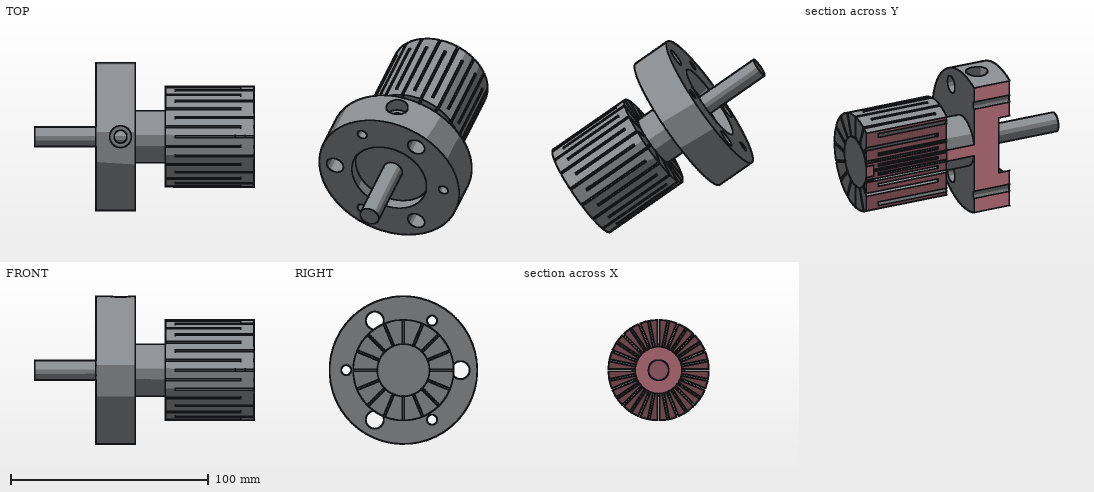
import cadquery as cq


rod_projection = 31.0
rod_diameter = 10.0
plug_diameter = 26.5
plug_length = 4.5
plug_overhang = 0.1

flange_diameter = 75.0
flange_thickness = 20.0
recess_diameter = 40.0
recess_depth = 6.0

bolt_circle_radius = 29.0
large_hole_diameter = 9.0
small_hole_diameter = 5.0
holes_per_size = 3
hole_spacing = 360 / holes_per_size

port_setback = 12.5
port_diameter = 6.5
counterbore_diameter = 11.0
counterbore_depth = 7.0

neck_diameter = plug_diameter
neck_length = 15.2
core_diameter = 24.0
nose_length = 5.0
nose_tip_diameter = 21.0
plug_gap = 5.2

sleeve_diameter = 51.0
sleeve_length = 45.0
slot_width = 1.0
slots_per_end = 16
slot_pitch = 360 / slots_per_end
front_slot_length = 38.25
rear_slot_length = 40.0

sleeve_front = flange_thickness + neck_length
sleeve_rear = sleeve_front + sleeve_length
rod_rear = sleeve_rear + plug_overhang
plug_front = rod_rear - plug_length
nose_tip = plug_front - plug_gap
nose_base = nose_tip - nose_length


def cylinder(diameter, start, end):
    """Solid cylinder about the X axis between two X stations."""
    return cq.Workplane("YZ", origin=(start, 0, 0)).circle(diameter / 2).extrude(end - start)


def flange_holes(diameter, first_angle):
    """Evenly spaced cutters through the flange; angles run from +Y toward +Z."""
    return (
        cq.Workplane("YZ")
        .polarArray(bolt_circle_radius, first_angle, 360, holes_per_size)
        .circle(diameter / 2)
        .extrude(flange_thickness)
    )


def radial_port():
    """Counterbored cutter from the top of the flange down to the rod bore."""
    rim_height = flange_diameter / 2
    hole = cq.Workplane("XY", origin=(port_setback, 0, 0)).circle(port_diameter / 2).extrude(rim_height)
    counterbore = (
        cq.Workplane("XY", origin=(port_setback, 0, rim_height - counterbore_depth))
        .circle(counterbore_diameter / 2)
        .extrude(counterbore_depth)
    )
    return hole.union(counterbore)


def tapered_nose():
    """Cone frustum that ends the core."""
    return (
        cq.Workplane("YZ", origin=(nose_base, 0, 0))
        .circle(core_diameter / 2)
        .workplane(offset=nose_length)
        .circle(nose_tip_diameter / 2)
        .loft()
    )


def make_housing():
    """Flange, neck and tapered core in one piece, bored through for the rod."""
    housing = cylinder(flange_diameter, 0, flange_thickness)
    housing = housing.union(cylinder(neck_diameter, flange_thickness, sleeve_front))
    housing = housing.union(cylinder(core_diameter, sleeve_front, nose_base))
    housing = housing.union(tapered_nose())
    housing = housing.cut(cylinder(recess_diameter, 0, recess_depth))
    housing = housing.cut(cylinder(rod_diameter, 0, nose_tip))
    housing = housing.cut(flange_holes(large_hole_diameter, 0))
    housing = housing.cut(flange_holes(small_hole_diameter, hole_spacing / 2))
    return housing.cut(radial_port())


def make_draw_rod():
    """Rod with a disc-shaped plug at its rear end."""
    rod = cylinder(rod_diameter, -rod_projection, rod_rear)
    return rod.union(cylinder(plug_diameter, plug_front, rod_rear))


def radial_slot(start, length):
    """Slot cutter reaching from the axis to the sleeve's outer surface, toward +Y."""
    return cq.Workplane("XY", origin=(start, 0, 0)).box(
        length, sleeve_diameter / 2, slot_width, centered=(False, False, True)
    )


def make_sleeve():
    """Sleeve on the core, slotted alternately from both ends, with a seat for the plug."""
    sleeve = cylinder(sleeve_diameter, sleeve_front, sleeve_rear)
    sleeve = sleeve.cut(cylinder(core_diameter, sleeve_front, sleeve_rear))
    sleeve = sleeve.cut(cylinder(plug_diameter, plug_front, sleeve_rear))
    front_slot = radial_slot(sleeve_front, front_slot_length)
    rear_slot = radial_slot(sleeve_rear - rear_slot_length, rear_slot_length)
    for index in range(slots_per_end):
        angle = index * slot_pitch
        sleeve = sleeve.cut(rear_slot.rotate((0, 0, 0), (1, 0, 0), angle))
        sleeve = sleeve.cut(front_slot.rotate((0, 0, 0), (1, 0, 0), angle + slot_pitch / 2))
    return sleeve


housing = make_housing()
draw_rod = make_draw_rod()
sleeve = make_sleeve()

result = cq.Compound.makeCompound([housing.val(), draw_rod.val(), sleeve.val()])